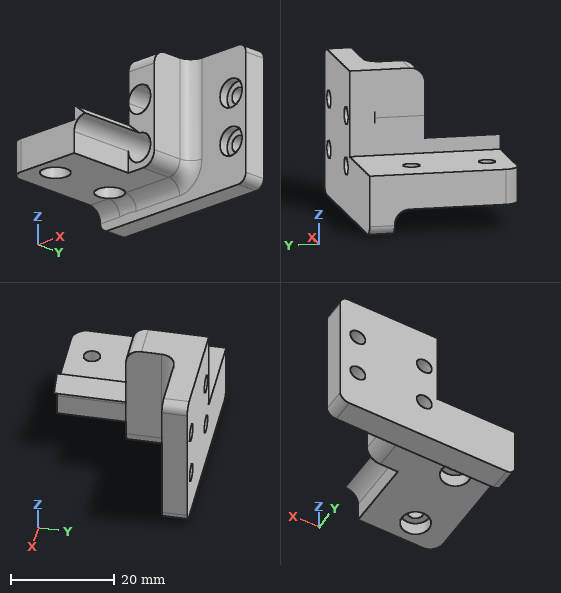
import cadquery as cq

plate_length = 39.5
plate_height = 29.0
plate_thickness = 5.0
plate_corner_radius = 2.0

wall_thickness = 7.0
shelf_bottom = 5.0
shelf_top = shelf_bottom + wall_thickness
shelf_depth = 30.0
web_left = 17.5
web_right = web_left + wall_thickness
web_depth = 15.0
edge_radius = 3.0

screw_diameter = 3.4
head_diameter = 6.0
web_screw_x = 20.5
outer_screw_x = 35.5
screw_z = (9.5, 19.5)
outer_seat_thickness = 3.0

rib_rise = 3.0

shelf_screw_diameter = 3.2
shelf_screw_x = 7.5
shelf_screw_y = (-10.0, -25.0)
shelf_head_depth = 3.0


def box(x_start, x_end, y_start, y_end, z_start, z_end):
    """Axis-aligned block between two opposite corners."""
    size = (x_end - x_start, y_end - y_start, z_end - z_start)
    return cq.Workplane().box(*size, centered=False).translate((x_start, y_start, z_start))


def bore_along_y(diameter, x, z, y_start, y_end):
    """Cylinder parallel to Y, between two Y positions."""
    cylinder = cq.Solid.makeCylinder(
        diameter / 2, y_end - y_start, cq.Vector(x, y_start, z), cq.Vector(0, 1, 0)
    )
    return cq.Workplane(cylinder)


def bore_along_z(diameter, x, y, z_start, z_end):
    """Cylinder parallel to Z, between two Z positions."""
    cylinder = cq.Solid.makeCylinder(
        diameter / 2, z_end - z_start, cq.Vector(x, y, z_start), cq.Vector(0, 0, 1)
    )
    return cq.Workplane(cylinder)


def make_plate():
    """L-shaped plate: the corner above the shelf and left of the web is open."""
    plate = box(0, plate_length, -plate_thickness, 0, 0, plate_height)
    plate = plate.edges("|Y").edges(">X or <Z").fillet(plate_corner_radius)
    return plate.cut(box(0, web_left, -plate_thickness, 0, shelf_top, plate_height))


def make_bracket():
    """Shelf and web joined, with the free corners rounded."""
    shelf = box(0, web_left, -shelf_depth, -plate_thickness, shelf_bottom, shelf_top)
    shelf = shelf.edges("|Z and <X and <Y").fillet(edge_radius)
    web = box(web_left, web_right, -web_depth, -plate_thickness, shelf_bottom, plate_height)
    web = web.edges("|X and <Y and >Z").fillet(edge_radius)
    web = web.edges("|Y and >X and <Z").fillet(edge_radius)
    return shelf.union(web)


def cut_shelf_holes(body):
    head_top = shelf_bottom + shelf_head_depth
    for y in shelf_screw_y:
        body = body.cut(bore_along_z(shelf_screw_diameter, shelf_screw_x, y, shelf_bottom, shelf_top))
        body = body.cut(bore_along_z(head_diameter, shelf_screw_x, y, shelf_bottom, head_top))
    return body


def fillet_bracket_root(body):
    """Blend the bracket's outer wall into the plate; over the counterbore it rolls on the bore's rim."""
    margin = 0.1
    root = cq.selectors.BoxSelector(
        (0, -plate_thickness - margin, shelf_bottom - margin),
        (web_right + margin, -plate_thickness + margin, plate_height - margin),
    )
    return body.edges(root).fillet(edge_radius)


def make_side_rib():
    """Rib with a sloping top, running down to the crown of the lower web screw's head bore."""
    bore_centre_z = min(screw_z)
    return (
        cq.Workplane("XZ", origin=(0, -web_depth, 0))
        .moveTo(web_left, bore_centre_z)
        .lineTo(web_left, shelf_top + rib_rise)
        .lineTo(web_screw_x, bore_centre_z + head_diameter / 2)
        .lineTo(web_screw_x, bore_centre_z)
        .close()
        .extrude(shelf_depth - web_depth)
    )


def cut_plate_holes(body):
    for x, seat_thickness in ((web_screw_x, plate_thickness), (outer_screw_x, outer_seat_thickness)):
        for z in screw_z:
            body = body.cut(bore_along_y(screw_diameter, x, z, -plate_thickness, 0))
            body = body.cut(bore_along_y(head_diameter, x, z, -shelf_depth, -seat_thickness))
    return body


result = make_plate().union(make_bracket())
result = cut_shelf_holes(result)
result = fillet_bracket_root(result)
result = result.union(make_side_rib())
result = cut_plate_holes(result)